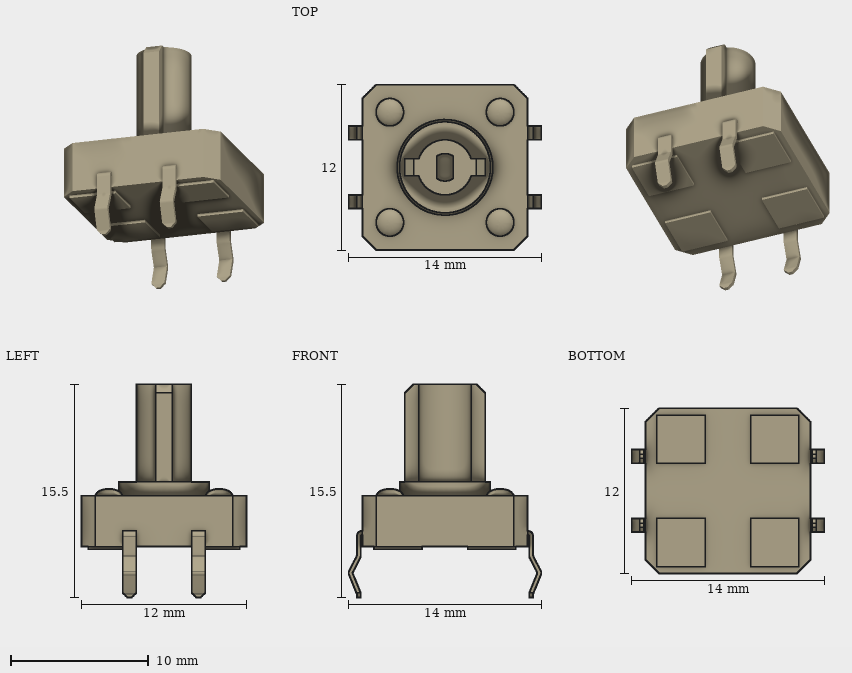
import cadquery as cq
import math


BODY_SIZE = 12.0
BODY_CORNER_CHAMFER = 1.0
BODY_HEIGHT = 3.7
FOOT_HEIGHT = 0.2
BODY_TOP = FOOT_HEIGHT + BODY_HEIGHT

FOOT_SIZE = 3.5
FOOT_X = 3.4
FOOT_Y = 3.75

DOME_DIAMETER = 2.0
DOME_HEIGHT = 0.5
DOME_RIM_ANGLE = 65.0
DOME_PITCH = 8.0

COLLAR_DIAMETER = 6.6
COLLAR_HOLE_DIAMETER = 6.95
COLLAR_HEIGHT = 1.0
COLLAR_GROOVE_DEPTH = 0.5
COLLAR_TOP = BODY_TOP + COLLAR_HEIGHT

SHAFT_TOP = 12.0
SHAFT_HEIGHT = SHAFT_TOP - COLLAR_TOP
SHAFT_DIAMETER = 4.0
KEY_SPAN = 5.86
KEY_WIDTH = 1.22
KEY_CHAMFER = 0.65
SOCKET_DIAMETER = 2.0
SOCKET_WIDTH = 1.22
SOCKET_DEPTH = 2.0

PIN_THICKNESS = 0.3
PIN_WIDTH = 1.0
PIN_PITCH = 5.0
PIN_EMBED = 0.5
PIN_X = 6.25
PIN_ELBOW_X = 6.865
PIN_TOP = 1.35
PIN_UPPER_BEND_Z = -0.5
PIN_ELBOW_Z = -1.7
PIN_LOWER_BEND_Z = -3.2
PIN_TIP_Z = -3.5
PIN_ROOT_BEND_RADIUS = 0.25
PIN_ELBOW_BEND_RADIUS = 0.16
PIN_LEG_BEND_RADIUS = 0.36
PIN_TIP_CHAMFER = 0.35


def make_body():
    body = (
        cq.Workplane("XY", origin=(0, 0, FOOT_HEIGHT))
        .rect(BODY_SIZE, BODY_SIZE)
        .extrude(BODY_HEIGHT)
        .edges("|Z")
        .chamfer(BODY_CORNER_CHAMFER)
    )
    groove = (
        cq.Workplane("XY", origin=(0, 0, BODY_TOP))
        .circle(COLLAR_HOLE_DIAMETER / 2)
        .circle(COLLAR_DIAMETER / 2)
        .extrude(-COLLAR_GROOVE_DEPTH)
    )
    return body.cut(groove)


def make_feet():
    return (
        cq.Workplane("XY")
        .rect(2 * FOOT_X, 2 * FOOT_Y, forConstruction=True)
        .vertices()
        .rect(FOOT_SIZE, FOOT_SIZE)
        .extrude(FOOT_HEIGHT)
    )


def make_domes():
    rim_angle = math.radians(DOME_RIM_ANGLE)
    rim_tangent = (-math.cos(rim_angle), math.sin(rim_angle))
    apex_tangent = (-1, 0)
    cap = (
        cq.Workplane("XZ", origin=(0, 0, BODY_TOP))
        .lineTo(DOME_DIAMETER / 2, 0)
        .spline([(0, DOME_HEIGHT)], tangents=[rim_tangent, apex_tangent], includeCurrent=True)
        .close()
        .revolve(360, (0, 0, 0), (0, 1, 0))
    )
    domes = cq.Workplane("XY")
    for side_x in (-1, 1):
        for side_y in (-1, 1):
            offset = (side_x * DOME_PITCH / 2, side_y * DOME_PITCH / 2, 0)
            domes = domes.add(cap.translate(offset))
    return domes.combine()


def make_collar():
    return (
        cq.Workplane("XY", origin=(0, 0, BODY_TOP))
        .circle(COLLAR_DIAMETER / 2)
        .extrude(COLLAR_HEIGHT)
    )


def make_shaft():
    base = cq.Workplane("XY", origin=(0, 0, COLLAR_TOP))
    core = base.circle(SHAFT_DIAMETER / 2).extrude(SHAFT_HEIGHT)
    keys = (
        base.rect(KEY_SPAN, KEY_WIDTH)
        .extrude(SHAFT_HEIGHT)
        .edges(">Z and |Y")
        .chamfer(KEY_CHAMFER)
    )
    top = cq.Workplane("XY", origin=(0, 0, SHAFT_TOP))
    socket_round = top.circle(SOCKET_DIAMETER / 2).extrude(-SOCKET_DEPTH)
    socket_flats = top.rect(SOCKET_WIDTH, SOCKET_DIAMETER).extrude(-SOCKET_DEPTH)
    return core.union(keys).cut(socket_round.intersect(socket_flats))


def rounded_path(points, radii):
    """Open XZ polyline with one tangent arc of the given radius at each inner corner."""
    corners = [cq.Vector(x, 0, z) for x, z in points]
    edges = []
    start = corners[0]
    for before, corner, after, radius in zip(corners, corners[1:], corners[2:], radii):
        incoming = (corner - before).normalized()
        outgoing = (after - corner).normalized()
        setback = radius * math.tan(incoming.getAngle(outgoing) / 2)
        arc_start = corner - incoming * setback
        arc_end = corner + outgoing * setback
        edges.append(cq.Edge.makeLine(start, arc_start))
        edges.append(cq.Edge.makeTangentArc(arc_start, incoming, arc_end))
        start = arc_end
    edges.append(cq.Edge.makeLine(start, corners[-1]))
    return cq.Wire.assembleEdges(edges)


def make_pin():
    """Terminal on the +X side, centred on Y = 0."""
    root_x = BODY_SIZE / 2 - PIN_EMBED
    root_z = PIN_TOP - PIN_THICKNESS / 2
    centerline = [
        (root_x, root_z),
        (PIN_X, root_z),
        (PIN_X, PIN_UPPER_BEND_Z),
        (PIN_ELBOW_X, PIN_ELBOW_Z),
        (PIN_X, PIN_LOWER_BEND_Z),
        (PIN_X, PIN_TIP_Z),
    ]
    bend_radii = [
        PIN_ROOT_BEND_RADIUS,
        PIN_LEG_BEND_RADIUS,
        PIN_ELBOW_BEND_RADIUS,
        PIN_LEG_BEND_RADIUS,
    ]
    path = rounded_path(centerline, bend_radii)
    strip = (
        cq.Workplane("YZ", origin=(root_x, 0, root_z))
        .rect(PIN_WIDTH, PIN_THICKNESS)
        .sweep(cq.Workplane(path))
    )
    silhouette = (
        cq.Workplane("YZ")
        .rect(PIN_WIDTH, -2 * PIN_TIP_Z)
        .extrude(PIN_ELBOW_X + PIN_THICKNESS)
        .edges("<Z and |X")
        .chamfer(PIN_TIP_CHAMFER)
    )
    return strip.intersect(silhouette)


def make_pins():
    pin = make_pin()
    pins = cq.Workplane("XY")
    for turn in (0, 180):
        for side_y in (-1, 1):
            offset = (0, side_y * PIN_PITCH / 2, 0)
            pins = pins.add(pin.translate(offset).rotate((0, 0, 0), (0, 0, 1), turn))
    return pins.combine()


result = (
    make_body()
    .union(make_feet())
    .union(make_domes())
    .union(make_collar())
    .union(make_shaft())
    .union(make_pins())
)